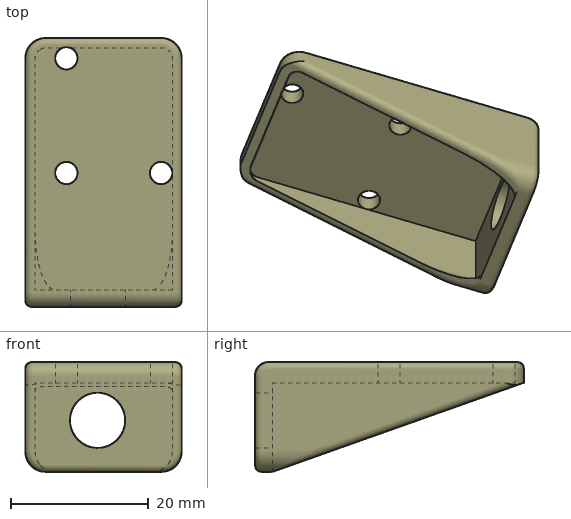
import cadquery as cq

width = 22.75
length = 39.12
height = 16.0

back_height = 3.0
front_foot = 2.5

corner_radius = 3.0
edge_radius = 1.0
front_top_radius = 2.0

side_wall = 1.4
front_wall = front_foot
top_wall = back_height
cavity_width = width - 2 * side_wall
cavity_length = length - front_wall - side_wall
cavity_height = height - top_wall
cavity_back_radius = corner_radius - side_wall

bore_diameter = 8.0
bore_x = -0.85
bore_z = 7.5
screw_diameter = 3.2
screw_left_x = -5.4
screw_right_x = 8.37
screw_middle_y = 19.5
screw_back_y = 36.15
screw_places = [
    (screw_left_x, screw_middle_y),
    (screw_right_x, screw_middle_y),
    (screw_left_x, screw_back_y),
]


def make_block():
    """Block with rounded lower side edges."""
    block = cq.Workplane("XY").box(width, length, height, centered=(True, False, False))
    return block.edges("|Y and <Z").fillet(corner_radius)


def cut_slope(body):
    """Remove the wedge under the slope and round the edge of the sloped face."""
    wedge = (
        cq.Workplane("YZ")
        .moveTo(front_foot, 0)
        .lineTo(length, height - back_height)
        .lineTo(length, 0)
        .close()
        .extrude(width / 2, both=True)
    )
    sloped = body.cut(wedge)
    box_start = (-width, front_foot + 2 * corner_radius, 0)
    box_end = (width, length - corner_radius, height - back_height)
    long_edges = cq.selectors.BoxSelector(box_start, box_end)
    return sloped.edges(long_edges).fillet(edge_radius)


def round_outside(body):
    """Round the back corners, the front top edge and the remaining outer edges."""
    plan = cq.Workplane("XY").box(width, length, height, centered=(True, False, False))
    body = body.intersect(plan.edges("|Z and >Y").fillet(corner_radius))
    body = body.faces("<Y").edges(">Z").fillet(front_top_radius)
    top_rim = body.faces(">Z").edges("not (<Y and |X)")
    front_rim = body.faces("<Y").edges("not (>Z and |X)")
    return body.newObject(top_rim.vals() + front_rim.vals()).fillet(edge_radius)


def make_cavity():
    """Pocket reaching from the top plate down through the slope."""
    return (
        cq.Workplane("XY")
        .box(cavity_width, cavity_length, cavity_height, centered=(True, False, False))
        .edges("|Z and >Y")
        .fillet(cavity_back_radius)
        .edges("|Y and <Z")
        .fillet(corner_radius)
        .translate((0, front_wall, 0))
    )


def make_bore():
    """Large hole through the front wall."""
    profile = cq.Workplane("XZ").center(bore_x, bore_z).circle(bore_diameter / 2)
    return profile.extrude(-length)


def make_screw_holes():
    """Vertical through holes in the top plate."""
    return cq.Workplane("XY").pushPoints(screw_places).circle(screw_diameter / 2).extrude(height)


body = round_outside(cut_slope(make_block()))
result = body.cut(make_cavity()).cut(make_bore()).cut(make_screw_holes()).solids()